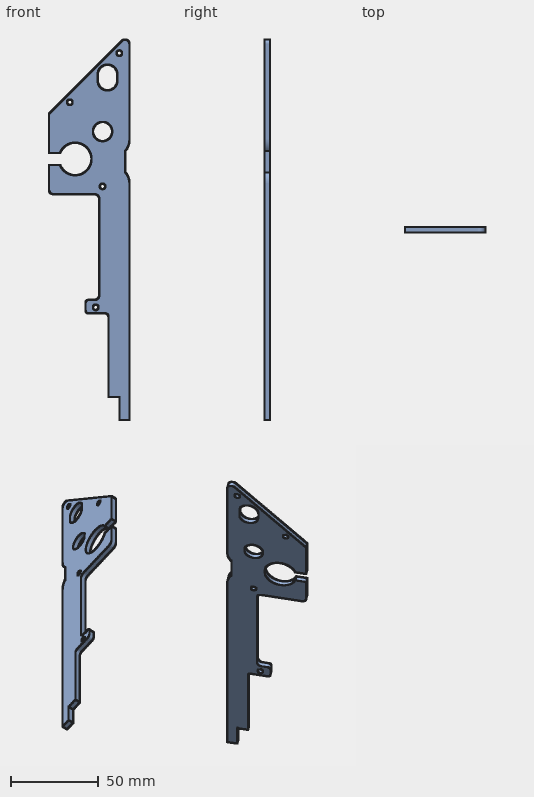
import cadquery as cq
import math

plate_width = 46.0
plate_height = 216.6
thickness = 3.2

head_bottom = 128.5
slant_bottom = 174.5
slant_top_x = plate_height - slant_bottom

stem_left = 28.5
tab_left = 20.8
tab_top = 68.5
tab_bottom = 60.7
lower_stem_left = 33.8
tip_left = 40.0
tip_height = 13.0

head_radius = 2.5
tab_radius = 1.7

relief_depth = 2.4
relief_center_z = 147.0
relief_flat_length = 12.1
relief_arc_radius = 9.7

bore_x = 15.0
bore_z = 148.6
bore_diameter = 18.5
gap_height = 6.7

screw_diameter = 3.0
screw_centers = [(40.0, 208.9), (12.0, 181.0), (30.5, 133.0), (26.6, 64.1)]
large_diameter = 10.8
large_center = (30.5, 164.2)
slot_center = (33.4, 195.0)
slot_length = 14.5
slot_width = 11.0


def front_sketch():
    """Workplane on the front face of the plate."""
    return cq.Workplane("XZ")


def extrude_plate(sketch):
    return sketch.extrude(-thickness)


def fillet_corners(body, corners, radius):
    """Round the plate edges running through the given (x, z) corners."""
    for x, z in corners:
        edge = cq.selectors.NearestToPointSelector((x, thickness / 2, z))
        body = body.edges("|Y").edges(edge).fillet(radius)
    return body


def make_plate():
    outline = [
        (tip_left, 0),
        (plate_width, 0),
        (plate_width, plate_height),
        (slant_top_x, plate_height),
        (0, slant_bottom),
        (0, head_bottom),
        (stem_left, head_bottom),
        (stem_left, tab_top),
        (tab_left, tab_top),
        (tab_left, tab_bottom),
        (lower_stem_left, tab_bottom),
        (lower_stem_left, tip_height),
        (tip_left, tip_height),
    ]
    body = extrude_plate(front_sketch().polyline(outline).close())
    head_corners = [
        (plate_width, plate_height),
        (slant_top_x, plate_height),
        (0, head_bottom),
        (stem_left, head_bottom),
        (stem_left, tab_top),
    ]
    tab_corners = [
        (tab_left, tab_top),
        (tab_left, tab_bottom),
        (lower_stem_left, tab_bottom),
    ]
    body = fillet_corners(body, head_corners, head_radius)
    return fillet_corners(body, tab_corners, tab_radius)


def make_edge_relief():
    arc_angle = math.acos(1 - relief_depth / relief_arc_radius)
    half_flat = relief_flat_length / 2
    half_opening = half_flat + relief_arc_radius * math.sin(arc_angle)
    floor_x = plate_width - relief_depth
    mid_x = plate_width - relief_arc_radius * (1 - math.cos(arc_angle / 2))
    mid_offset = half_opening - relief_arc_radius * math.sin(arc_angle / 2)
    sketch = (
        front_sketch()
        .moveTo(plate_width, relief_center_z + half_opening)
        .threePointArc((mid_x, relief_center_z + mid_offset), (floor_x, relief_center_z + half_flat))
        .lineTo(floor_x, relief_center_z - half_flat)
        .threePointArc((mid_x, relief_center_z - mid_offset), (plate_width, relief_center_z - half_opening))
        .close()
    )
    return extrude_plate(sketch)


def make_clamp_opening():
    bore = extrude_plate(front_sketch().center(bore_x, bore_z).circle(bore_diameter / 2))
    gap = extrude_plate(front_sketch().center(bore_x / 2, bore_z).rect(bore_x, gap_height))
    return bore.union(gap)


def make_holes(centers, diameter):
    return extrude_plate(front_sketch().pushPoints(centers).circle(diameter / 2))


def make_slot():
    return extrude_plate(front_sketch().center(*slot_center).slot2D(slot_length, slot_width, 90))


result = (
    make_plate()
    .cut(make_edge_relief())
    .cut(make_clamp_opening())
    .cut(make_holes(screw_centers, screw_diameter))
    .cut(make_holes([large_center], large_diameter))
    .cut(make_slot())
)